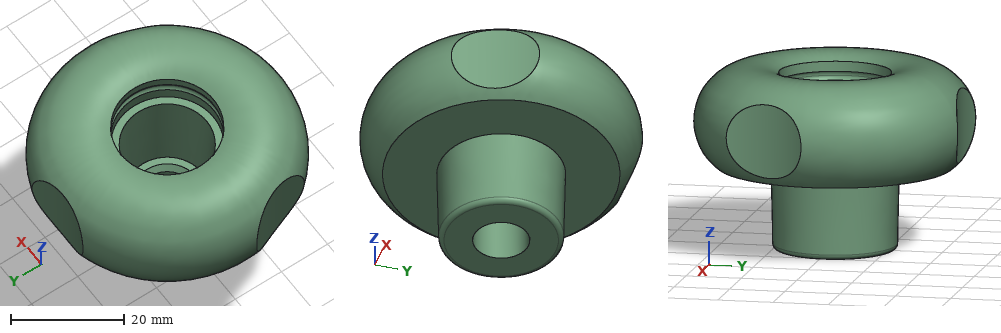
import cadquery as cq
import math

outer_diameter = 50.0
grip_section_radius = 10.0
grip_center_radius = outer_diameter / 2 - grip_section_radius
total_height = 33.0
grip_center_z = total_height - grip_section_radius
grip_underside_z = 15.0

hub_top_radius = 11.4
hub_bottom_radius = 11.05
hub_edge_fillet = 0.95

recess_radius = 10.0
recess_floor_z = 25.9
groove_center_z = 29.05
groove_section_radius = 1.0
groove_center_radius = 9.4
cavity_top_radius = 8.5
cavity_floor_radius = 7.45
cavity_floor_z = 10.0
through_hole_radius = 10.1 / 2
through_hole_chamfer = 1.0

scallop_angles = (90.0, 202.2, 339.8)
scallop_radius = 25.0
scallop_floor_distance = 22.5


def make_grip():
    """Ring of round section with a filled center, cut flat underneath."""
    center_drop = grip_center_z - grip_underside_z
    underside_radius = grip_center_radius + math.sqrt(grip_section_radius**2 - center_drop**2)
    profile = (
        cq.Workplane("XZ")
        .moveTo(0, grip_underside_z)
        .lineTo(underside_radius, grip_underside_z)
        .threePointArc(
            (grip_center_radius, total_height),
            (grip_center_radius - grip_section_radius, grip_center_z),
        )
        .lineTo(0, grip_center_z)
        .close()
    )
    return profile.revolve(360, (0, 0, 0), (0, 1, 0))


def make_hub():
    """Drafted hub with a rounded bottom edge."""
    hub = (
        cq.Workplane("XY")
        .circle(hub_bottom_radius)
        .workplane(offset=grip_underside_z)
        .circle(hub_top_radius)
        .loft(ruled=True)
    )
    return hub.faces("<Z").edges().fillet(hub_edge_fillet)


def make_bore():
    """Recess, tapered cavity and chamfered through hole as one turned cutter."""
    profile = (
        cq.Workplane("XZ")
        .moveTo(0, 0)
        .lineTo(through_hole_radius, 0)
        .lineTo(through_hole_radius, cavity_floor_z - through_hole_chamfer)
        .lineTo(through_hole_radius + through_hole_chamfer, cavity_floor_z)
        .lineTo(cavity_floor_radius, cavity_floor_z)
        .lineTo(cavity_top_radius, recess_floor_z)
        .lineTo(recess_radius, recess_floor_z)
        .lineTo(recess_radius, total_height)
        .lineTo(0, total_height)
        .close()
    )
    return profile.revolve(360, (0, 0, 0), (0, 1, 0))


def make_snap_groove():
    """Ring cutter for the rounded groove in the recess wall."""
    return (
        cq.Workplane("XZ")
        .center(groove_center_radius, groove_center_z)
        .circle(groove_section_radius)
        .revolve(360, (-groove_center_radius, 0, 0), (-groove_center_radius, 1, 0))
    )


def make_scallop(angle):
    """Upright cylinder that hollows the rim at the given angle."""
    axis_distance = scallop_floor_distance + scallop_radius
    axis_x = axis_distance * math.cos(math.radians(angle))
    axis_y = axis_distance * math.sin(math.radians(angle))
    return (
        cq.Workplane("XY")
        .center(axis_x, axis_y)
        .circle(scallop_radius)
        .extrude(total_height)
    )


body = make_grip().union(make_hub())
result = body.cut(make_bore()).cut(make_snap_groove())
for scallop_angle in scallop_angles:
    result = result.cut(make_scallop(scallop_angle))